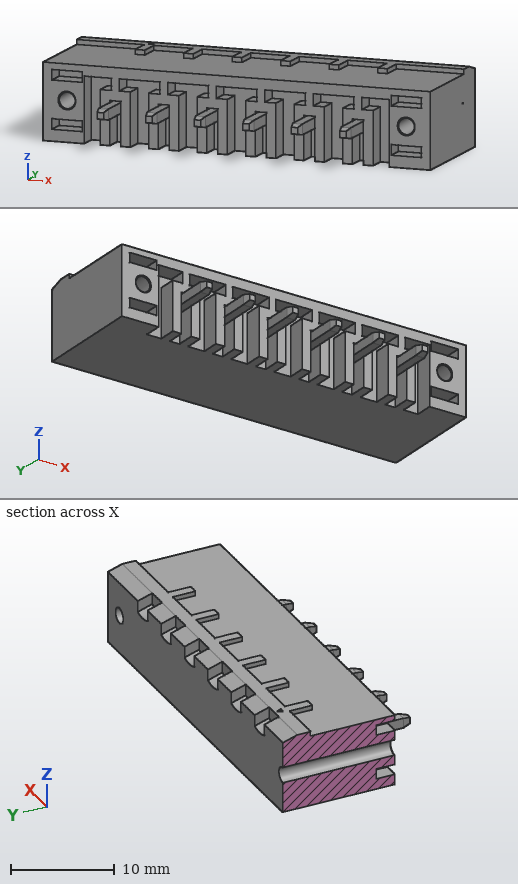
import cadquery as cq

length = 39.9
body_depth = 12.1
body_top = 7.7
overall_height = 8.2

contact_count = 6
pitch = 5.0
contact_xs = [(i - (contact_count - 1) / 2) * pitch for i in range(contact_count)]

ridge_depth = 3.0
bevel_depth = 1.55
rib_width = 1.0
rib_reach = 5.45

notch_width = 2.1
notch_depth = 1.2
notch_floor_sag = 0.2

recess_width = 31.45
recess_top = 6.65
recess_depth = 2.0
post_width = 3.1
post_top = 5.45
neck_width = 0.8

pin_width = 1.0
pin_height = 1.1
pin_bottom = 3.2
pin_z = pin_bottom + pin_height / 2
pin_reach = 4.0
pin_tip_length = 0.85
pin_tip_size = 0.65
groove_width = 1.1
groove_top = 4.45
groove_depth = 2.0

flange_x = 17.5
flange_z = 4.1
flange_hole_diameter = 1.65
flange_hole_chamfer = 0.1
pocket_width = 3.1
pocket_height = 1.05
pocket_spacing = 4.85
pocket_depth = 2.0

nub_size = 0.1
nub_y = 8.6
nub_z = 4.9

mark_width = 0.5
mark_height = 0.5
mark_depth = 0.1
mark_front_gap = 0.6


def block(x_center, width, y_start, depth, z_start, height):
    """Box centred on x_center that runs back from y_start and up from z_start."""
    return cq.Workplane("XY").box(width, depth, height, centered=(True, False, False)).translate(
        (x_center, y_start, z_start)
    )


def make_housing():
    """Side profile with the bevelled ridge, extruded along X."""
    ridge_front = body_depth - ridge_depth
    return (
        cq.Workplane("YZ", origin=(-length / 2, 0, 0))
        .polyline(
            [
                (0, 0),
                (body_depth, 0),
                (body_depth, body_top),
                (body_depth - bevel_depth, overall_height),
                (ridge_front, overall_height),
                (ridge_front, body_top),
                (0, body_top),
            ]
        )
        .close()
        .extrude(length)
    )


def make_rib(x):
    return block(x, rib_width, body_depth - rib_reach, rib_reach - bevel_depth,
                 body_top, overall_height - body_top)


def notch_section(plane, floor_z):
    """Upright notch outline with an arched floor and its open side level with the ridge top."""
    half_width = notch_width / 2
    return (
        plane.moveTo(-half_width, overall_height)
        .lineTo(-half_width, floor_z)
        .threePointArc((0, floor_z - notch_floor_sag), (half_width, floor_z))
        .lineTo(half_width, overall_height)
        .close()
    )


def make_notch(x):
    """Notch cutter from the rear face to the front of the bevel, its floor rising with the bevel."""
    rear = notch_section(cq.Workplane("XZ", origin=(x, body_depth, 0)), body_top - notch_depth)
    front = notch_section(rear.workplane(offset=bevel_depth), overall_height - notch_depth)
    return front.loft(ruled=True)


def make_post(x):
    """Contact post hung from the recess ceiling by a narrow neck."""
    post = block(x, post_width, 0, recess_depth, 0, post_top)
    neck = block(x, neck_width, 0, recess_depth, post_top, recess_top - post_top)
    return post.union(neck)


def make_pin(x):
    """Straight pin with a tapered tip, starting at the back of its groove."""
    shank_front = pin_tip_length - pin_reach
    shank = block(x, pin_width, shank_front, groove_depth - shank_front, pin_bottom, pin_height)
    tip = (
        cq.Workplane("XZ", origin=(x, shank_front, pin_z))
        .rect(pin_width, pin_height)
        .workplane(offset=pin_tip_length)
        .rect(pin_tip_size, pin_tip_size)
        .loft()
    )
    return shank.union(tip)


def make_flange_cutter(x):
    hole = cq.Workplane("XZ", origin=(x, 0, flange_z)).circle(flange_hole_diameter / 2).extrude(-body_depth)
    chamfer = cq.Workplane(
        cq.Solid.makeCone(
            flange_hole_diameter / 2 + flange_hole_chamfer,
            flange_hole_diameter / 2,
            flange_hole_chamfer,
            pnt=cq.Vector(x, 0, flange_z),
            dir=cq.Vector(0, 1, 0),
        )
    )
    cutter = hole.union(chamfer)
    for side in (-1, 1):
        bottom = flange_z + side * pocket_spacing / 2 - pocket_height / 2
        cutter = cutter.union(block(x, pocket_width, 0, pocket_depth, bottom, pocket_height))
    return cutter


def make_mark(x):
    base_y = body_depth - ridge_depth + mark_front_gap
    return (
        cq.Workplane("XY", origin=(x, base_y, overall_height - mark_depth))
        .polyline([(-mark_width / 2, 0), (mark_width / 2, 0), (0, mark_height)])
        .close()
        .extrude(mark_depth)
    )


result = make_housing().cut(block(0, recess_width, 0, recess_depth, 0, recess_top))
for x in contact_xs:
    result = result.union(make_rib(x)).union(make_post(x))
    result = result.cut(make_notch(x))
    result = result.cut(block(x, groove_width, 0, groove_depth, 0, groove_top))
    result = result.union(make_pin(x))
for x in (-flange_x, flange_x):
    result = result.cut(make_flange_cutter(x))
result = result.cut(make_mark(contact_xs[0]))
result = result.union(block(length / 2 + nub_size / 2, nub_size, nub_y, nub_size, nub_z, nub_size))